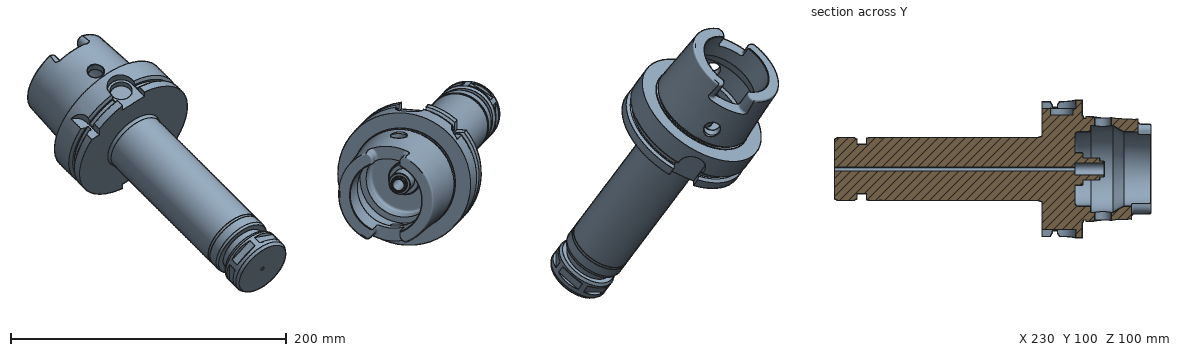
import cadquery as cq
import math


total_length = 230.0
coolant_bore_diameter = 2.5

taper_length = 50.0
taper_front_radius = 35.9
taper_slope = 1 / 20
taper_lip_fillet = 1.4
relief_start = 47.4
relief_width = 1.8
relief_radius = 37.0
collar_radius = 38.6

socket_radius = 27.0
socket_depth = 55.2
socket_corner_fillet = 2.0
socket_mouth_chamfer = 0.5

undercut_radius = 31.5
undercut_start_x = 19.8
undercut_end_x = 43.7
undercut_ramp_angle = 30.0

drive_slot_width = 20.2
drive_slot_flare_radius = 5.3
drive_slot_flare_height = 32.7
drive_slot_floor_fillet = 2.0
upper_drive_slot_depth = 9.5
lower_drive_slot_depth = 14.3

access_hole_diameter = 12.0
access_countersink_diameter = 13.3
access_hole_x = 35.0

flange_radius = 50.02
flange_width = 29.5
groove_center_x = 70.0
groove_floor_width = 3.7
groove_floor_radius = 46.0
groove_flank_depth = 2.5
groove_flank_angle = 30.0

cutter_radius = 10.1
keyway_end_x = 64.9
keyway_floor = 44.0
chip_hole_diameter = 16.0
chip_hole_depth = 4.5
notch_offset = 31.7

arbor_radius = 23.0
arbor_root_length = 2.8
arbor_root_step = 1.0
arbor_end_x = 206.8
arbor_chamfer_length = 2.0
arbor_chamfer_depth = 0.7
ring_groove_x = 195.3
ring_groove_width = 2.0
ring_groove_depth = 0.2
neck_radius = 18.05

nut_start_x = 213.5
nut_radius = 23.0
nut_chamfer_length = 2.3
nut_chamfer_depth = 1.4
nut_flat_count = 6
nut_flat_distance = 21.0
nut_flat_start_x = 218.0
nut_flat_width = 6.0
nut_flat_wall_run = 0.7

tube_tip_x = 34.0
tube_shoulder_x = 37.3
tube_nut_x = 49.5
tube_tip_diameter = 12.0
tube_tip_face_diameter = 10.5
tube_body_diameter = 16.0
tube_body_face_diameter = 15.5
tube_nut_diameter = 24.0
tube_nut_face_diameter = 22.3
tube_bore_diameter = 8.5
tube_bore_mouth_diameter = 9.0

flange_start_x = taper_length
flange_end_x = flange_start_x + flange_width
nut_end_x = total_length


def revolve_about_x(points):
    """Turn a closed (x, radius) outline about the X axis."""
    return cq.Workplane("XY").polyline(points).close().revolve(360, (0, 0, 0), (1, 0, 0))


def disc(start_x, end_x, radius):
    """A plain cylinder on the X axis."""
    return cq.Workplane("YZ").workplane(offset=start_x).circle(radius).extrude(end_x - start_x)


def make_body():
    relief_end = relief_start + relief_width
    floor_left = groove_center_x - groove_floor_width / 2
    floor_right = groove_center_x + groove_floor_width / 2
    flank_run = groove_flank_depth * math.tan(math.radians(groove_flank_angle))
    flank_radius = flange_radius - groove_flank_depth
    ring_groove_end = ring_groove_x + ring_groove_width
    ring_groove_radius = arbor_radius - ring_groove_depth
    nut_face_radius = nut_radius - nut_chamfer_depth
    return revolve_about_x([
        (0, 0),
        (0, taper_front_radius),
        (relief_start, taper_front_radius + relief_start * taper_slope),
        (relief_start, relief_radius),
        (relief_end, relief_radius),
        (relief_end, collar_radius),
        (flange_start_x, collar_radius),
        (flange_start_x, flange_radius),
        (floor_left - flank_run, flange_radius),
        (floor_left, flank_radius),
        (floor_left, groove_floor_radius),
        (floor_right, groove_floor_radius),
        (floor_right, flank_radius),
        (floor_right + flank_run, flange_radius),
        (flange_end_x, flange_radius),
        (flange_end_x, arbor_radius + arbor_root_step),
        (flange_end_x + arbor_root_length, arbor_radius),
        (ring_groove_x, arbor_radius),
        (ring_groove_x, ring_groove_radius),
        (ring_groove_end, ring_groove_radius),
        (ring_groove_end, arbor_radius),
        (arbor_end_x - arbor_chamfer_length, arbor_radius),
        (arbor_end_x, arbor_radius - arbor_chamfer_depth),
        (arbor_end_x, neck_radius),
        (nut_start_x, neck_radius),
        (nut_start_x, nut_face_radius),
        (nut_start_x + nut_chamfer_length, nut_radius),
        (nut_end_x - nut_chamfer_length, nut_radius),
        (nut_end_x, nut_face_radius),
        (nut_end_x, 0),
    ])


def make_socket():
    """Round bore with a rounded floor corner, a broken mouth edge and the clamping undercut."""
    bore = disc(0, socket_depth, socket_radius).faces(">X").edges().fillet(socket_corner_fillet)
    mouth = revolve_about_x([
        (0, 0),
        (0, socket_radius + socket_mouth_chamfer),
        (socket_mouth_chamfer, socket_radius),
        (socket_mouth_chamfer, 0),
    ])
    ramp_length = (undercut_radius - socket_radius) / math.tan(math.radians(undercut_ramp_angle))
    undercut = revolve_about_x([
        (undercut_start_x, 0),
        (undercut_start_x, socket_radius),
        (undercut_start_x + ramp_length, undercut_radius),
        (undercut_end_x, undercut_radius),
        (undercut_end_x, 0),
    ])
    return bore.union(mouth).union(undercut)


def make_drive_slot(depth):
    """Cutter for one drive slot, opening towards +Z, its walls flaring outwards."""
    half_width = drive_slot_width / 2
    flare_start = drive_slot_flare_height - drive_slot_flare_radius
    flare_end = half_width + drive_slot_flare_radius
    flare_mid_reach = drive_slot_flare_radius * (1 - math.sqrt(0.5))
    mid_y = half_width + flare_mid_reach
    mid_z = drive_slot_flare_height - flare_mid_reach
    outside = flange_radius
    return (
        cq.Workplane("YZ")
        .moveTo(-half_width, 0)
        .lineTo(half_width, 0)
        .lineTo(half_width, flare_start)
        .threePointArc((mid_y, mid_z), (flare_end, drive_slot_flare_height))
        .lineTo(outside, drive_slot_flare_height)
        .lineTo(outside, outside)
        .lineTo(-outside, outside)
        .lineTo(-outside, drive_slot_flare_height)
        .lineTo(-flare_end, drive_slot_flare_height)
        .threePointArc((-mid_y, mid_z), (-half_width, flare_start))
        .close()
        .extrude(depth)
        .faces(">X").edges().fillet(drive_slot_floor_fillet)
    )


def make_slotted_envelope():
    """Cylinder around the whole part with both drive slots, their mouth edges rounded."""
    upper = make_drive_slot(upper_drive_slot_depth)
    lower = make_drive_slot(lower_drive_slot_depth).rotate((0, 0, 0), (1, 0, 0), 180)
    envelope = disc(0, total_length, flange_radius).cut(upper).cut(lower)
    slot_edges = envelope.faces("<X").edges().filter(
        lambda edge: edge.geomType() == "LINE" or edge.radius() < socket_radius)
    return slot_edges.fillet(taper_lip_fillet)


def make_access_hole():
    """Cross hole through both taper walls, countersunk where it leaves the taper."""
    surface = taper_front_radius + access_hole_x * taper_slope
    bore_radius = access_hole_diameter / 2
    sink_radius = access_countersink_diameter / 2
    sink_depth = sink_radius - bore_radius
    wall = (
        cq.Workplane("XY").workplane(offset=socket_radius).center(access_hole_x, 0)
        .circle(bore_radius).extrude(flange_radius - socket_radius)
    )
    sink = (
        cq.Workplane("XY").workplane(offset=surface - sink_depth).center(access_hole_x, 0)
        .circle(bore_radius).workplane(offset=2 * sink_depth)
        .circle(2 * sink_radius - bore_radius).loft()
    )
    upper = wall.union(sink)
    return upper.union(upper.mirror("XY"))


def make_cutter_path(y_center, floor):
    """Round-ended slot open towards +X, cleared from its floor up past the flange."""
    height = flange_radius
    length = flange_end_x - keyway_end_x
    end = (
        cq.Workplane("XY").workplane(offset=floor).center(keyway_end_x, y_center)
        .circle(cutter_radius).extrude(height)
    )
    run = (
        cq.Workplane("XY").workplane(offset=floor).center(keyway_end_x + length / 2, y_center)
        .rect(length, 2 * cutter_radius).extrude(height)
    )
    return end.union(run)


def cut_flange(body):
    keyway = make_cutter_path(0, keyway_floor)
    notch = make_cutter_path(-notch_offset - cutter_radius, notch_offset)
    chip_hole = (
        cq.Workplane("XY").workplane(offset=keyway_floor - chip_hole_depth)
        .center(keyway_end_x, 0).circle(chip_hole_diameter / 2).extrude(flange_radius)
    )
    return body.cut(keyway).cut(keyway.mirror("XY")).cut(notch).cut(chip_hole)


def cut_nut_flats(body):
    outside = 2 * nut_radius - nut_flat_distance
    run = nut_flat_wall_run * (outside - nut_flat_distance) / (nut_radius - nut_flat_distance)
    end_x = nut_flat_start_x + nut_flat_width
    flat = (
        cq.Workplane("XY")
        .polyline([
            (nut_flat_start_x, nut_flat_distance),
            (end_x, nut_flat_distance),
            (end_x + run, outside),
            (nut_flat_start_x - run, outside),
        ])
        .close().extrude(nut_radius, both=True)
    )
    for index in range(nut_flat_count):
        body = body.cut(flat.rotate((0, 0, 0), (1, 0, 0), index * 360 / nut_flat_count))
    return body


def make_coolant_tube():
    tip_chamfer = (tube_tip_diameter - tube_tip_face_diameter) / 2
    body_chamfer = (tube_body_diameter - tube_body_face_diameter) / 2
    nut_chamfer = (tube_nut_diameter - tube_nut_face_diameter) / 2
    bore_chamfer = (tube_bore_mouth_diameter - tube_bore_diameter) / 2
    return revolve_about_x([
        (tube_tip_x, tube_bore_mouth_diameter / 2),
        (tube_tip_x, tube_tip_face_diameter / 2),
        (tube_tip_x + tip_chamfer, tube_tip_diameter / 2),
        (tube_shoulder_x, tube_tip_diameter / 2),
        (tube_shoulder_x, tube_body_face_diameter / 2),
        (tube_shoulder_x + body_chamfer, tube_body_diameter / 2),
        (tube_nut_x, tube_body_diameter / 2),
        (tube_nut_x, tube_nut_face_diameter / 2),
        (tube_nut_x + nut_chamfer, tube_nut_diameter / 2),
        (socket_depth, tube_nut_diameter / 2),
        (socket_depth, tube_bore_diameter / 2),
        (tube_tip_x + bore_chamfer, tube_bore_diameter / 2),
    ])


body = make_body().faces("<X").edges().fillet(taper_lip_fillet)
body = body.intersect(make_slotted_envelope())
body = body.cut(make_socket())
body = body.cut(make_access_hole())
body = cut_flange(body)
body = cut_nut_flats(body)
body = body.union(make_coolant_tube())
result = body.cut(disc(0, total_length, coolant_bore_diameter / 2))